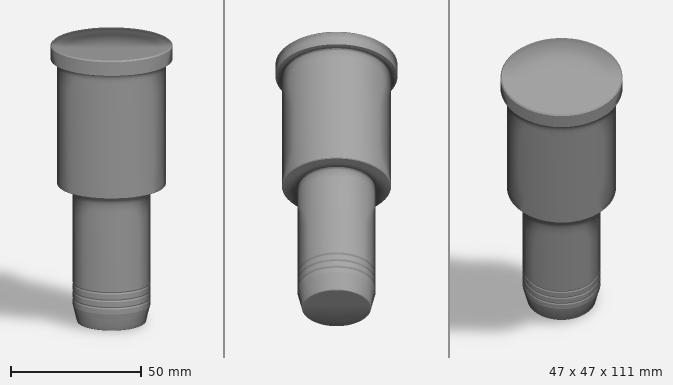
import cadquery as cq

total_length = 111.0
head_height = 6.0
shank_length = 55.0

head_diameter = 47.0
body_diameter = 42.0
shank_diameter = 30.0
tip_diameter = 26.5

taper_height = 7.0
head_chamfer = 0.5
body_chamfer = 0.3
tip_chamfer = 0.2

relief_height = 1.0
relief_depth = 0.3

groove_count = 3
groove_width = 1.0
groove_depth = 0.3
groove_pitch = 3.0
lowest_groove_bottom = 9.0

head_bottom = total_length - head_height


def cylinder(diameter, bottom, top):
    """Solid cylinder on the Z axis between two heights."""
    return cq.Workplane("XY").workplane(offset=bottom).circle(diameter / 2).extrude(top - bottom)


def ring_cut(diameter, depth, bottom, height):
    """Ring that removes the given radial depth from a cylinder."""
    return (
        cq.Workplane("XY")
        .workplane(offset=bottom)
        .circle(diameter / 2 + depth)
        .circle(diameter / 2 - depth)
        .extrude(height)
    )


def v_groove(bottom):
    """Triangular ring whose point reaches the groove depth into the shank."""
    shank_radius = shank_diameter / 2
    return (
        cq.Workplane("XZ")
        .moveTo(shank_radius, bottom)
        .lineTo(shank_radius - groove_depth, bottom + groove_width / 2)
        .lineTo(shank_radius, bottom + groove_width)
        .close()
        .revolve(360, (0, 0, 0), (0, 1, 0))
    )


def make_shank():
    """Shank with a conical lead-in, V-grooves and a relief neck."""
    tip = (
        cq.Workplane("XY")
        .circle(tip_diameter / 2)
        .workplane(offset=taper_height)
        .circle(shank_diameter / 2)
        .loft(ruled=True)
        .faces("<Z")
        .chamfer(tip_chamfer)
    )
    shank = tip.union(cylinder(shank_diameter, taper_height, shank_length))
    for index in range(groove_count):
        groove_bottom = lowest_groove_bottom + index * groove_pitch
        shank = shank.cut(v_groove(groove_bottom))
    relief_bottom = shank_length - relief_height
    return shank.cut(ring_cut(shank_diameter, relief_depth, relief_bottom, relief_height))


def make_body():
    """Main cylinder with a chamfered lower edge and a relief neck below the head."""
    body = cylinder(body_diameter, shank_length, head_bottom).faces("<Z").chamfer(body_chamfer)
    relief_bottom = head_bottom - relief_height
    return body.cut(ring_cut(body_diameter, relief_depth, relief_bottom, relief_height))


def make_head():
    """Flat head with a chamfered top edge."""
    return cylinder(head_diameter, head_bottom, total_length).faces(">Z").chamfer(head_chamfer)


result = make_shank().union(make_body()).union(make_head())